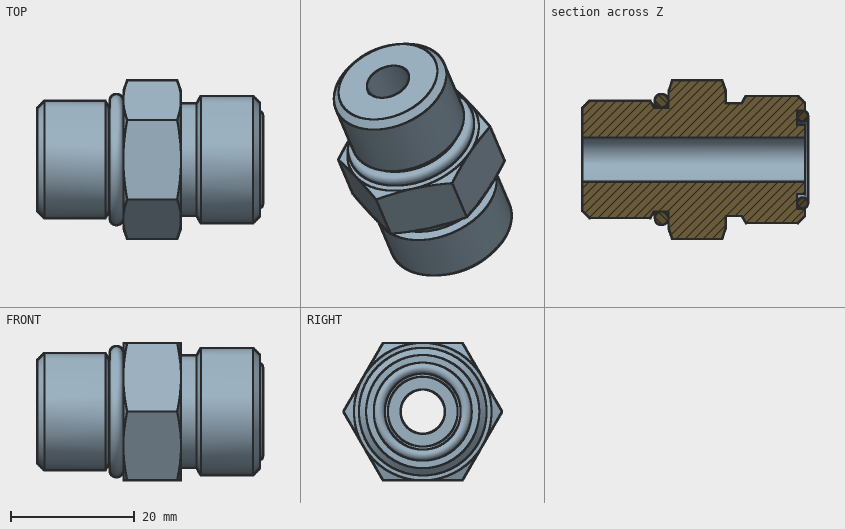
import cadquery as cq
import math


bore_dia = 7.12

stud_dia = 19.05
stud_chamfer = 1.17
stud_length = 11.0
stud_neck_dia = 16.8

hex_flats = 22.25
hex_start = 13.9
hex_end = 23.25
hex_corner_chamfer = 0.62

seal_end_dia = 20.65
seal_end_chamfer = 1.17
relief_dia = 18.25
relief_end = 25.75
seal_face = 36.02

runout_slope = math.tan(math.radians(30))

stud_ring_section = 2.23
face_ring_section = 1.8
overall_length = 36.53

groove_outer_dia = 15.85
groove_inner_dia = 11.3
groove_floor = overall_length - face_ring_section


def turned(points):
    """Solid of revolution about X from a closed (x, radius) outline."""
    return cq.Workplane("XY").polyline(points).close().revolve(360, (0, 0, 0), (1, 0, 0))


def make_turned_ends():
    """Both cylindrical ends and their necks, as one turned blank."""
    stud_radius = stud_dia / 2
    neck_radius = stud_neck_dia / 2
    relief_radius = relief_dia / 2
    end_radius = seal_end_dia / 2
    stud_runout = (stud_radius - neck_radius) * runout_slope
    end_runout = (end_radius - relief_radius) * runout_slope
    hex_middle = (hex_start + hex_end) / 2
    return turned([
        (0, 0),
        (0, stud_radius - stud_chamfer),
        (stud_chamfer, stud_radius),
        (stud_length, stud_radius),
        (stud_length + stud_runout, neck_radius),
        (hex_middle, neck_radius),
        (hex_middle, relief_radius),
        (relief_end, relief_radius),
        (relief_end + end_runout, end_radius),
        (seal_face - seal_end_chamfer, end_radius),
        (seal_face, end_radius - seal_end_chamfer),
        (seal_face, 0),
    ])


def make_hexagon():
    """Hexagon with flats facing +Z and -Z, its corners bevelled at both faces."""
    flat_radius = hex_flats / 2
    corner_radius = flat_radius / math.cos(math.radians(30))
    prism = (
        cq.Workplane("YZ", origin=(hex_start, 0, 0))
        .polygon(6, 2 * corner_radius)
        .extrude(hex_end - hex_start)
    )
    bevel_envelope = turned([
        (hex_start, 0),
        (hex_start, flat_radius),
        (hex_start + hex_corner_chamfer, corner_radius),
        (hex_end - hex_corner_chamfer, corner_radius),
        (hex_end, flat_radius),
        (hex_end, 0),
    ])
    return prism.intersect(bevel_envelope)


def make_fitting():
    """Fitting body with its through bore and the ring groove in the sealing face."""
    bore = cq.Workplane("YZ").circle(bore_dia / 2).extrude(seal_face)
    groove = (
        cq.Workplane("YZ", origin=(groove_floor, 0, 0))
        .circle(groove_outer_dia / 2)
        .circle(groove_inner_dia / 2)
        .extrude(seal_face - groove_floor)
    )
    return make_turned_ends().union(make_hexagon()).cut(bore).cut(groove).solids()


def make_ring(center_x, center_radius, section_dia):
    """O-ring of round section about the X axis."""
    return (
        cq.Workplane("XY")
        .center(center_x, center_radius)
        .circle(section_dia / 2)
        .revolve(360, (-center_x, -center_radius, 0), (0.35 - center_x, -center_radius, 0))
    )


fitting = make_fitting()

stud_ring = make_ring(
    hex_start - stud_ring_section / 2,
    (stud_neck_dia + stud_ring_section) / 2,
    stud_ring_section,
)

face_ring = make_ring(
    overall_length - face_ring_section / 2,
    (groove_outer_dia - face_ring_section) / 2,
    face_ring_section,
)

result = cq.Compound.makeCompound([fitting.val(), stud_ring.val(), face_ring.val()])